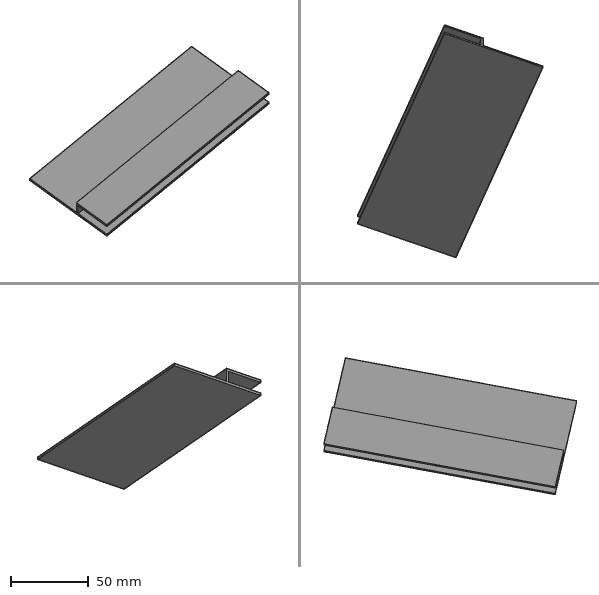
import cadquery as cq

length = 152.4
base_width = 68.3
height = 11.5
flange_thickness = 1.8
web_thickness = 1.5
top_flange_width = 27.0

right_x = base_width / 2
web_left_x = right_x - top_flange_width
web_right_x = web_left_x + web_thickness
top_flange_underside = height - flange_thickness

profile = [
    (-right_x, 0),
    (right_x, 0),
    (right_x, flange_thickness),
    (web_right_x, flange_thickness),
    (web_right_x, top_flange_underside),
    (right_x, top_flange_underside),
    (right_x, height),
    (web_left_x, height),
    (web_left_x, flange_thickness),
    (-right_x, flange_thickness),
]

result = cq.Workplane("XZ").polyline(profile).close().extrude(length / 2, both=True)